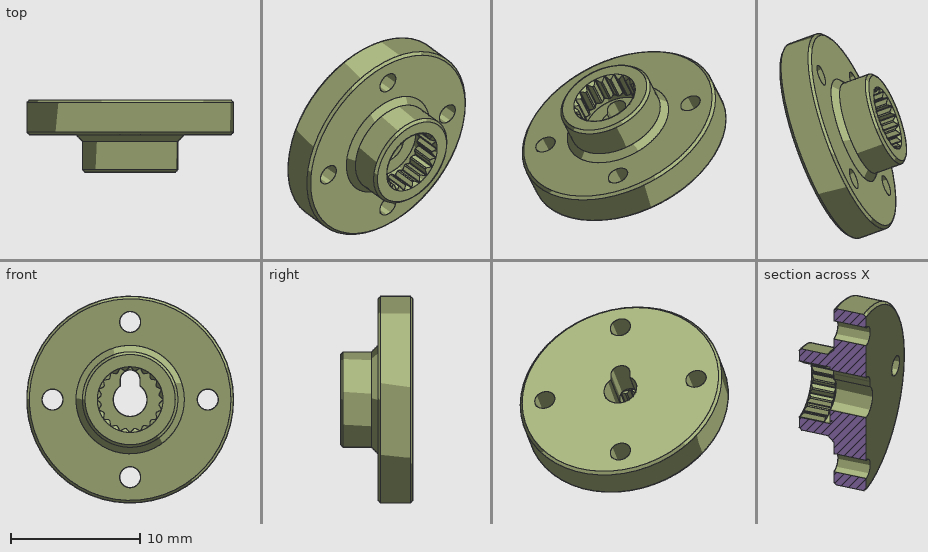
import cadquery as cq
import math


flange_radius = 8.0
flange_thickness = 2.7
edge_chamfer = 0.2

total_depth = 5.6
hub_radius = 3.7
collar_height = 0.5
collar_radius = hub_radius + collar_height

mounting_hole_diameter = 1.6
mounting_circle_radius = 6.0
mounting_hole_count = 4

spline_tooth_count = 20
spline_tip_radius = 2.27
spline_root_radius = 2.53
spline_tip_width = 0.13
spline_root_width = 0.06
spline_end_depth = 2.08
socket_depth = 2.56
mouth_radius = 2.55
mouth_depth = 0.27

keyhole_radius = 1.3
key_slot_width = 1.5
key_slot_top = 2.29

back_y = total_depth / 2
front_y = -total_depth / 2
flange_front_y = back_y - flange_thickness


def plane_at(y):
    """Plane facing +Y at the given place, with local x along X and local y along -Z."""
    return cq.Workplane(cq.Plane(origin=(0, y, 0), xDir=(1, 0, 0), normal=(0, 1, 0)))


def make_body():
    """Flange, conical collar and hub as one revolved profile of (radius, y)."""
    profile = [
        (0, front_y),
        (hub_radius - edge_chamfer, front_y),
        (hub_radius, front_y + edge_chamfer),
        (hub_radius, flange_front_y - collar_height),
        (collar_radius, flange_front_y),
        (flange_radius - edge_chamfer, flange_front_y),
        (flange_radius, flange_front_y + edge_chamfer),
        (flange_radius, back_y - edge_chamfer),
        (flange_radius - edge_chamfer, back_y),
        (0, back_y),
    ]
    return cq.Workplane("XY").polyline(profile).close().revolve(360, (0, 0, 0), (0, 1, 0))


def make_mounting_holes():
    return (
        plane_at(front_y)
        .polarArray(mounting_circle_radius, 0, 360, mounting_hole_count)
        .circle(mounting_hole_diameter / 2)
        .extrude(total_depth)
    )


def make_spline_cutter():
    """Space left between the teeth, with a groove centred on every pitch angle."""
    pitch = 2 * math.pi / spline_tooth_count
    root_half_angle = spline_root_width / (2 * spline_root_radius)
    tip_half_angle = spline_tip_width / (2 * spline_tip_radius)
    outline = []
    for tooth in range(spline_tooth_count):
        groove_angle = tooth * pitch
        tip_angle = groove_angle + pitch / 2
        for radius, angle in (
            (spline_root_radius, groove_angle - root_half_angle),
            (spline_root_radius, groove_angle + root_half_angle),
            (spline_tip_radius, tip_angle - tip_half_angle),
            (spline_tip_radius, tip_angle + tip_half_angle),
        ):
            outline.append((radius * math.cos(angle), radius * math.sin(angle)))
    return plane_at(front_y).polyline(outline).close().extrude(socket_depth)


def make_socket():
    """Splined bore with a conical mouth and a plain relief below the teeth."""
    relief = plane_at(front_y + spline_end_depth).circle(spline_root_radius)
    relief = relief.extrude(socket_depth - spline_end_depth)
    mouth = (
        cq.Workplane("XY")
        .polyline([
            (0, front_y),
            (mouth_radius, front_y),
            (spline_tip_radius, front_y + mouth_depth),
            (0, front_y + mouth_depth),
        ])
        .close()
        .revolve(360, (0, 0, 0), (0, 1, 0))
    )
    return make_spline_cutter().union(relief).union(mouth)


def make_keyhole():
    """Round hole on the axis with a round-ended slot reaching up toward +Z."""
    slot_radius = key_slot_width / 2
    slot_end_z = key_slot_top - slot_radius
    hole = plane_at(front_y).circle(keyhole_radius).extrude(total_depth)
    slot_end = plane_at(front_y).center(0, -slot_end_z).circle(slot_radius).extrude(total_depth)
    slot = plane_at(front_y).center(0, -slot_end_z / 2).rect(key_slot_width, slot_end_z)
    return hole.union(slot_end).union(slot.extrude(total_depth))


result = make_body().cut(make_mounting_holes()).cut(make_socket()).cut(make_keyhole())